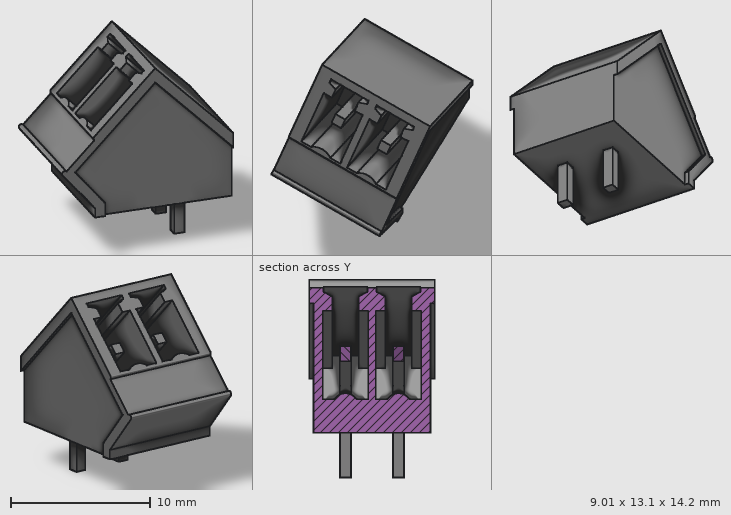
import cadquery as cq
import math


POLES = 2
PITCH = 3.81
POLE_CENTRES = [(i - (POLES - 1) / 2) * PITCH for i in range(POLES)]

WIDTH = 9.01
DEPTH = 13.1
BACK_Y = 3.32
BACK_HEIGHT = 5.02
HEIGHT = 11.0
APEX_Y = BACK_Y - (HEIGHT - BACK_HEIGHT)
FOOT_DEPTH = 10.58
FOOT_Y = BACK_Y - FOOT_DEPTH
UNDERSIDE_ANGLE = math.radians(50)

UPPER_FACE_LENGTH = 6.77
STEP = 0.2
BEAD_RADIUS = 0.2

RIM = 0.8
RECESS_DEPTH = 0.3

CAVITY_DEPTH = 7.0
CAVITY_TOP = 0.7
KEY_FLANK_START = 1.0
KEY_FLANK_END = 1.25
KEY_BOTTOM = 2.0
CAVITY_BOTTOM = 6.45
KEYWAY_HALF_WIDTH = 1.57
NECK_HALF_WIDTH = 0.945
CAVITY_HALF_WIDTH = 1.62
RIDGE_HALF_WIDTH = 0.8
RIDGE_HEIGHT = 0.3

PIN_SIZE = 0.8
PIN_LEG_LENGTH = 3.2
PIN_FACE_POSITION = 4.16
PIN_SETBACK = 1.2

DIAGONAL = math.sqrt(2)


def face_point(along, below):
    """(Y, Z) of a point 'along' down the mating face from the apex and 'below' its surface."""
    return (APEX_Y - (along - below) / DIAGONAL, HEIGHT - (along + below) / DIAGONAL)


def underside_z(y, start):
    """Height of a line that rises forwards from 'start' parallel to the underside."""
    return start[1] + (start[0] - y) * math.tan(UNDERSIDE_ANGLE)


bead_y = BACK_Y - DEPTH + BEAD_RADIUS
bead_along = (APEX_Y - bead_y) * DIAGONAL + STEP
bead_z = face_point(bead_along, STEP)[1]
bead_start = face_point(bead_along - BEAD_RADIUS, STEP)
bead_front = (bead_y - BEAD_RADIUS, bead_z)
bead_end = (
    bead_y - BEAD_RADIUS * math.sin(UNDERSIDE_ANGLE),
    bead_z - BEAD_RADIUS * math.cos(UNDERSIDE_ANGLE),
)
foot_top = (FOOT_Y, underside_z(FOOT_Y, bead_end))


def housing_block():
    round_centre = UPPER_FACE_LENGTH - STEP
    round_middle = face_point(round_centre + STEP / DIAGONAL, STEP - STEP / DIAGONAL)
    return (
        cq.Workplane("YZ", origin=(-WIDTH / 2, 0, 0))
        .moveTo(BACK_Y, 0)
        .lineTo(BACK_Y, BACK_HEIGHT)
        .lineTo(APEX_Y, HEIGHT)
        .lineTo(*face_point(round_centre, 0))
        .threePointArc(round_middle, face_point(UPPER_FACE_LENGTH, STEP))
        .lineTo(*bead_start)
        .threePointArc(bead_front, bead_end)
        .lineTo(*foot_top)
        .lineTo(FOOT_Y, 0)
        .close()
        .extrude(WIDTH)
    )


def side_recess(start_x):
    """Shallow recess that leaves a rim along the roof, the mating face, the underside and the foot."""
    drop = RIM * DIAGONAL
    foot_y = FOOT_Y + RIM
    foot_corner = (foot_y, foot_top[1] + RIM * math.tan((math.pi / 2 - UNDERSIDE_ANGLE) / 2))
    face_height_over_foot = HEIGHT - drop - (APEX_Y - foot_y)
    reach = (face_height_over_foot - foot_corner[1]) / (1 + math.tan(UNDERSIDE_ANGLE))
    front_y = foot_y - reach
    return (
        cq.Workplane("YZ", origin=(start_x, 0, 0))
        .polyline([
            (BACK_Y, 0),
            (BACK_Y, BACK_HEIGHT - drop),
            (APEX_Y, HEIGHT - drop),
            (front_y, underside_z(front_y, foot_corner)),
            foot_corner,
            (foot_y, 0),
        ])
        .close()
        .extrude(RECESS_DEPTH)
    )


def plug_cavity(x):
    """Keyed plug cavity sunk square to the mating face, with a rounded ridge on its lower wall."""
    mating_face = cq.Plane(origin=(x, APEX_Y, HEIGHT), xDir=(1, 0, 0), normal=(0, -1, 1))
    return (
        cq.Workplane(mating_face)
        .moveTo(-KEYWAY_HALF_WIDTH, -CAVITY_TOP)
        .lineTo(KEYWAY_HALF_WIDTH, -CAVITY_TOP)
        .lineTo(KEYWAY_HALF_WIDTH, -KEY_FLANK_START)
        .lineTo(NECK_HALF_WIDTH, -KEY_FLANK_END)
        .lineTo(NECK_HALF_WIDTH, -KEY_BOTTOM)
        .lineTo(CAVITY_HALF_WIDTH, -KEY_BOTTOM)
        .lineTo(CAVITY_HALF_WIDTH, -CAVITY_BOTTOM)
        .lineTo(RIDGE_HALF_WIDTH, -CAVITY_BOTTOM)
        .threePointArc((0, RIDGE_HEIGHT - CAVITY_BOTTOM), (-RIDGE_HALF_WIDTH, -CAVITY_BOTTOM))
        .lineTo(-CAVITY_HALF_WIDTH, -CAVITY_BOTTOM)
        .lineTo(-CAVITY_HALF_WIDTH, -KEY_BOTTOM)
        .lineTo(-NECK_HALF_WIDTH, -KEY_BOTTOM)
        .lineTo(-NECK_HALF_WIDTH, -KEY_FLANK_END)
        .lineTo(-KEYWAY_HALF_WIDTH, -KEY_FLANK_START)
        .close()
        .extrude(-CAVITY_DEPTH)
    )


def bent_pin(x):
    """Square pin: a vertical leg mitred into an arm that points square out of the mating face."""
    half = PIN_SIZE / 2
    arm_top = face_point(PIN_FACE_POSITION - half, PIN_SETBACK)
    arm_bottom = face_point(PIN_FACE_POSITION + half, PIN_SETBACK)
    rear_bend_z = arm_top[1] - (half - arm_top[0])
    front_bend_z = arm_bottom[1] - (-half - arm_bottom[0])
    return (
        cq.Workplane("YZ", origin=(x - half, 0, 0))
        .polyline([
            (half, -PIN_LEG_LENGTH),
            (half, rear_bend_z),
            arm_top,
            arm_bottom,
            (-half, front_bend_z),
            (-half, -PIN_LEG_LENGTH),
        ])
        .close()
        .extrude(PIN_SIZE)
    )


pins = [bent_pin(x) for x in POLE_CENTRES]

housing = housing_block()
for recess_start in (-WIDTH / 2, WIDTH / 2 - RECESS_DEPTH):
    housing = housing.cut(side_recess(recess_start))
for pole_x in POLE_CENTRES:
    housing = housing.cut(plug_cavity(pole_x))
for pin in pins:
    housing = housing.cut(pin)

result = cq.Compound.makeCompound([housing.solids().val(), *[pin.val() for pin in pins]])